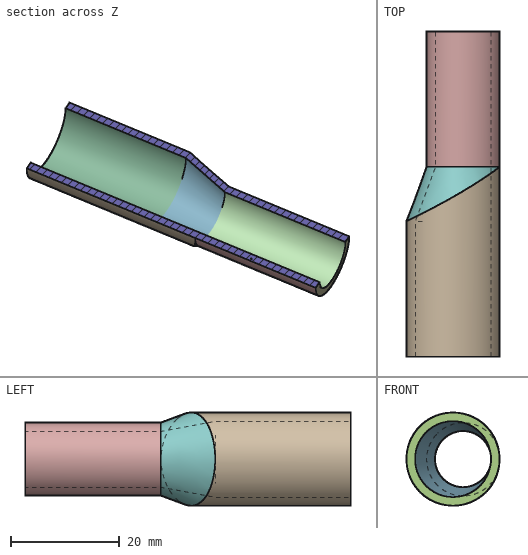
import cadquery as cq

large_diameter = 17.2
small_diameter = 13.5
wall = 1.6

large_length = 25.0
taper_length = 10.0
small_length = 25.0

large_bore_diameter = large_diameter - 2 * wall
small_bore_diameter = small_diameter - 2 * wall

axis_offset = (large_diameter - small_diameter) / 2
taper_slope = (large_diameter - small_diameter) / taper_length

shoulder_y = large_length + taper_length


def cross_section(center_x, y):
    """Workplane facing +Y, centred on (center_x, y, 0)."""
    return cq.Workplane(cq.Plane(origin=(center_x, y, 0), xDir=(1, 0, 0), normal=(0, 1, 0)))


def cylinder_along_y(diameter, center_x, start_y, length):
    """Solid cylinder parallel to Y, starting at start_y and running toward +Y."""
    return cross_section(center_x, start_y).circle(diameter / 2).extrude(length)


def taper_cone():
    """Cone around the small tube's axis, widening from the shoulder down to y = 0."""
    end_radius = small_diameter / 2
    start_radius = end_radius + taper_slope * shoulder_y
    base_center = cq.Vector(axis_offset, 0, 0)
    axis = cq.Vector(0, 1, 0)
    return cq.Workplane(obj=cq.Solid.makeCone(start_radius, end_radius, shoulder_y, base_center, axis))


def outer_body():
    """Large cylinder trimmed by the taper cone, with the small cylinder joined at the shoulder."""
    large_end = cylinder_along_y(large_diameter, 0, 0, shoulder_y).intersect(taper_cone())
    small_end = cylinder_along_y(small_diameter, axis_offset, shoulder_y, small_length)
    return large_end.union(small_end)


def bore():
    """Large bore and small bore, joined by an eccentric taper between their end circles."""
    large_bore = cylinder_along_y(large_bore_diameter, 0, 0, large_length)
    taper = (
        cross_section(0, large_length)
        .circle(large_bore_diameter / 2)
        .workplane(offset=taper_length)
        .center(axis_offset, 0)
        .circle(small_bore_diameter / 2)
        .loft(ruled=True)
    )
    small_bore = cylinder_along_y(small_bore_diameter, axis_offset, shoulder_y, small_length)
    return large_bore.union(taper).union(small_bore)


result = outer_body().cut(bore())